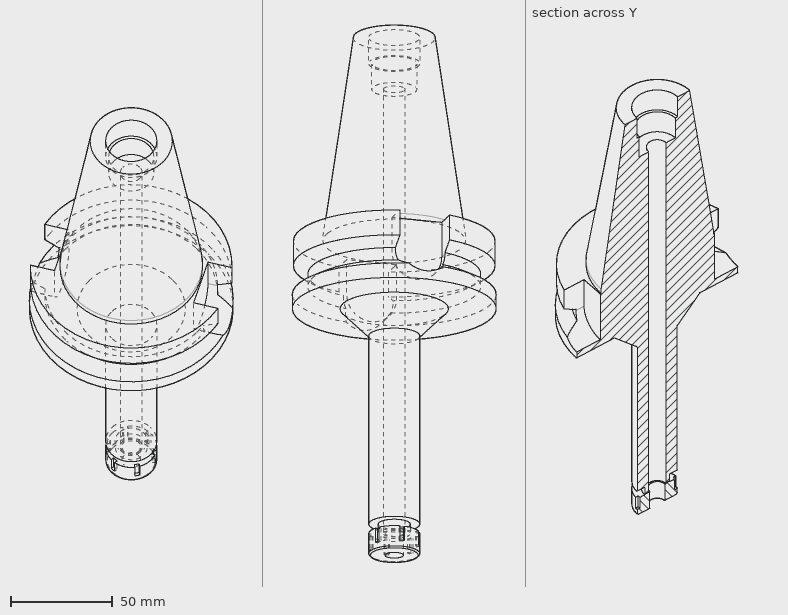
import cadquery as cq

total_height = 266.8

taper_small_radius = 40.3 / 2
taper_large_radius = 70.0 / 2
taper_length = 102.0
collar_length = 3.0

flange_radius = 100.0 / 2
upper_rim_radius = 99.0 / 2
groove_radius = 84.8 / 2
upper_rim_depth = 12.8
groove_floor_start = 17.0
groove_floor_end = 23.5
lower_rim_start = 27.5
flange_thickness = 35.0

slot_width = 25.5
slot_depth = 30.7
slot_floor_offset = 35.5

cone_radius = 53.0 / 2
stem_radius = 25.0 / 2
stem_bottom = 16.0
neck_radius = 15.7 / 2

socket_radius = 25.0 / 2
socket_depth = 13.3
drill_radius = 22.1 / 2
drill_depth = 26.7
through_radius = 10.7 / 2

nut_radius = stem_radius
nut_height = 11.2
nut_chamfer = 0.8
nut_hole_radius = 9.0 / 2
notch_count = 6
notch_width = 2.5
notch_height = 7.2
notch_depth = 1.5

taper_bottom = total_height - taper_length
flange_top = taper_bottom - collar_length
flange_bottom = flange_top - flange_thickness
cone_bottom = flange_bottom - (cone_radius - stem_radius)


def revolve_profile(points):
    """Revolve an outline of (radius, height) points about the Z axis."""
    return cq.Workplane("XZ").polyline(points).close().revolve(360, (0, 0), (0, 1))


def bore(radius, bottom, top):
    """Cylinder on the Z axis, for cutting a bore between two heights."""
    return cq.Workplane("XY").workplane(offset=bottom).circle(radius).extrude(top - bottom)


def drive_slot(side):
    """Cutter for a round-ended drive slot, on the +X (1) or -X (-1) side."""
    end_radius = slot_width / 2
    arc_height = flange_top - slot_depth + end_radius
    return (
        cq.Workplane("YZ")
        .workplane(offset=side * slot_floor_offset)
        .moveTo(-end_radius, flange_top)
        .lineTo(-end_radius, arc_height)
        .threePointArc((0, arc_height - end_radius), (end_radius, arc_height))
        .lineTo(end_radius, flange_top)
        .close()
        .extrude(side * flange_radius)
    )


def make_holder():
    """Taper shank, flange, stem and neck, with the stepped bore and two drive slots."""
    holder = revolve_profile([
        (0, total_height),
        (taper_small_radius, total_height),
        (taper_large_radius, taper_bottom),
        (taper_large_radius, flange_top),
        (upper_rim_radius, flange_top),
        (upper_rim_radius, flange_top - upper_rim_depth),
        (groove_radius, flange_top - groove_floor_start),
        (groove_radius, flange_top - groove_floor_end),
        (flange_radius, flange_top - lower_rim_start),
        (flange_radius, flange_bottom),
        (cone_radius, flange_bottom),
        (stem_radius, cone_bottom),
        (stem_radius, stem_bottom),
        (neck_radius, stem_bottom),
        (neck_radius, nut_height),
        (0, nut_height),
    ])
    for side in (-1, 1):
        holder = holder.cut(drive_slot(side))
    holder = holder.cut(bore(socket_radius, total_height - socket_depth, total_height))
    holder = holder.cut(bore(drill_radius, total_height - drill_depth, total_height))
    return holder.cut(bore(through_radius, nut_height, total_height))


def make_nut():
    """Clamping nut with its centre hole and wrench notches open at the top."""
    nut = revolve_profile([
        (nut_hole_radius, 0),
        (nut_radius - nut_chamfer, 0),
        (nut_radius, nut_chamfer),
        (nut_radius, nut_height),
        (nut_hole_radius, nut_height),
    ])
    notch = cq.Workplane("XY").box(
        2 * notch_depth, notch_width, notch_height, centered=(True, True, False)
    ).translate((nut_radius, 0, nut_height - notch_height))
    for index in range(notch_count):
        angle = index * 360 / notch_count
        nut = nut.cut(notch.rotate((0, 0, 0), (0, 0, 1), angle))
    return nut


holder = make_holder()
nut = make_nut()

result = cq.Compound.makeCompound([holder.val(), nut.val()])